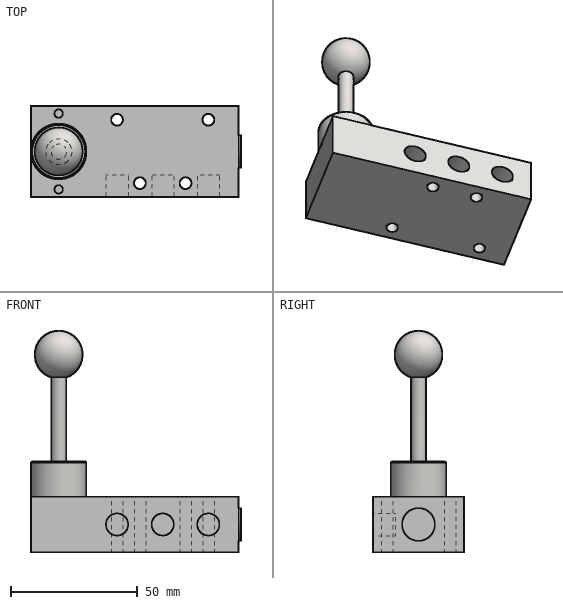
import cadquery as cq

body_length = 82.0
body_width = 36.0
body_height = 22.0

plug_diameter = 12.95
plug_length = 1.05

total_height = 87.5
collar_diameter = 22.0
collar_height = 14.0
collar_chamfer = 0.5
lever_x = collar_diameter / 2
stem_diameter = 6.0
knob_diameter = 19.0
knob_center_z = total_height - knob_diameter / 2
collar_top_z = body_height + collar_height

outline_depth = 0.1
seat_diameter = 10.2
pin_diameter = 3.3
pin_offset_y = 15.0

port_diameter = 8.75
port_depth = 8.75
port_pitch = 18.0
middle_port_x = 52.1
port_z = body_height / 2

mount_diameter = 4.55
mount_offset_y = 12.5
mount_holes = [
    (middle_port_x - port_pitch, mount_offset_y),
    (middle_port_x + port_pitch, mount_offset_y),
    (middle_port_x - port_pitch / 2, -mount_offset_y),
    (middle_port_x + port_pitch / 2, -mount_offset_y),
]


def upright_cylinder(diameter, x, y, bottom_z, height):
    return (
        cq.Workplane("XY", origin=(x, y, bottom_z))
        .circle(diameter / 2)
        .extrude(height)
    )


def make_body():
    block = cq.Workplane("XY").box(
        body_length, body_width, body_height, centered=(False, True, False)
    )
    plug = (
        cq.Workplane("YZ", origin=(body_length, 0, body_height / 2))
        .circle(plug_diameter / 2)
        .extrude(plug_length)
    )
    return block.union(plug)


def cut_ports(body):
    for step in (-1, 0, 1):
        port_x = middle_port_x + step * port_pitch
        port = (
            cq.Workplane("XZ", origin=(port_x, -body_width / 2, port_z))
            .circle(port_diameter / 2)
            .extrude(-port_depth)
        )
        body = body.cut(port)
    return body


def cut_mount_holes(body):
    for x, y in mount_holes:
        body = body.cut(upright_cylinder(mount_diameter, x, y, 0, body_height))
    return body


def cut_pin_outlines(body):
    for y in (-pin_offset_y, pin_offset_y):
        floor_z = body_height - outline_depth
        body = body.cut(upright_cylinder(pin_diameter, lever_x, y, floor_z, outline_depth))
    return body


def make_lever():
    collar = upright_cylinder(collar_diameter, lever_x, 0, body_height, collar_height)
    collar = collar.faces(">Z").edges().chamfer(collar_chamfer)
    seat_z = collar_top_z - outline_depth
    collar = collar.cut(upright_cylinder(seat_diameter, lever_x, 0, seat_z, outline_depth))
    stem = upright_cylinder(stem_diameter, lever_x, 0, seat_z, knob_center_z - seat_z)
    knob = cq.Workplane("XY").sphere(knob_diameter / 2).translate((lever_x, 0, knob_center_z))
    return collar.union(stem).union(knob)


body = make_body()
body = cut_ports(body)
body = cut_mount_holes(body)
body = cut_pin_outlines(body)
result = body.union(make_lever())